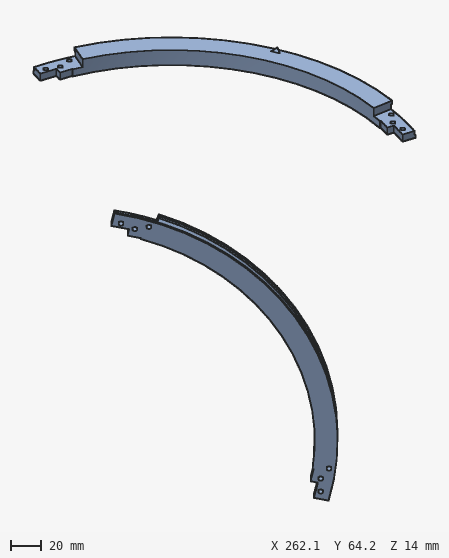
import cadquery as cq
import math

outer_radius = 178.72
ring_width = 15.0
body_height = 12.0
body_half_angle = 37.5
base_half_angle = 40.0

groove_depth = 1.0
lower_lip_height = 1.6
groove_floor_bottom = 3.1
groove_floor_top = 8.8
upper_lip_bottom = 9.6

tab_angle = 45.0
tab_height = 5.7
tab_end = 6.71
tab_sweep_angle = 50.0
tongue_length = 12.0
tongue_width = 10.0

hole_diameter = 3.2
hole_places = [(0.9, 6.8), (-8.8, 8.9), (-17.5, 5.3)]

pointer_angle = 6.3
pointer_tip_inset = 0.6
pointer_base_width = 7.0
pointer_base_length = 3.5
pointer_height = 2.0
pointer_sink = 0.2

inner_radius = outer_radius - ring_width


def cross_section():
    """Ring section in the YZ plane, Y being the radius, with the groove on its outer side."""
    groove_radius = outer_radius - groove_depth
    return cq.Workplane("YZ").polyline([
        (inner_radius, 0),
        (outer_radius, 0),
        (outer_radius, lower_lip_height),
        (groove_radius, groove_floor_bottom),
        (groove_radius, groove_floor_top),
        (outer_radius, upper_lip_bottom),
        (outer_radius, body_height),
        (inner_radius, body_height),
    ]).close()


def ring_sector(half_angle):
    """The section swept about Z, symmetric about +Y."""
    sector = cross_section().revolve(2 * half_angle, (0, 0), (0, 1))
    return sector.rotate((0, 0, 0), (0, 0, 1), -half_angle)


def low_slab():
    """Everything below the tab top face."""
    side = 4 * outer_radius
    return cq.Workplane("XY").rect(side, side).extrude(tab_height)


def tab_outline():
    """Trimming prism for one tab, drawn with its 45 degree radius along +Y."""
    start = -outer_radius * math.sin(math.radians(tab_angle - base_half_angle))
    outside = outer_radius + ring_width
    tongue_radius = outer_radius - tongue_width
    notch_position = tab_end - tongue_length
    return cq.Workplane("XY").polyline([
        (start, inner_radius),
        (notch_position, inner_radius),
        (notch_position, tongue_radius),
        (tab_end, tongue_radius),
        (tab_end, outside),
        (start, outside),
    ]).close().extrude(tab_height)


def tab_holes():
    """Through-hole cutters, placed like tab_outline."""
    centres = [(along, outer_radius - inset) for along, inset in hole_places]
    return cq.Workplane("XY").pushPoints(centres).circle(hole_diameter / 2).extrude(tab_height)


def at_both_ends(shape):
    """Turn a shape to the +X end and mirror it to the -X end."""
    right = shape.rotate((0, 0, 0), (0, 0, 1), -tab_angle)
    return right.union(right.mirror("YZ"))


def pointer():
    """Pyramid whose top point stands over its outermost base corner."""
    tip_y = outer_radius - pointer_tip_inset
    base_y = tip_y - pointer_base_length
    half_width = pointer_base_width / 2
    left = cq.Vector(-half_width, base_y, body_height - pointer_sink)
    right = cq.Vector(half_width, base_y, body_height - pointer_sink)
    tip = cq.Vector(0, tip_y, body_height - pointer_sink)
    top = cq.Vector(0, tip_y, body_height + pointer_height)
    triangles = [(left, right, tip), (left, right, top), (right, tip, top), (tip, left, top)]
    faces = [cq.Face.makeFromWires(cq.Wire.makePolygon(t, close=True)) for t in triangles]
    pyramid = cq.Workplane(cq.Solid.makeSolid(cq.Shell.makeShell(faces)))
    return pyramid.rotate((0, 0, 0), (0, 0, 1), -pointer_angle)


tabs = ring_sector(tab_sweep_angle).intersect(at_both_ends(tab_outline()))
base = ring_sector(base_half_angle).intersect(low_slab())
result = ring_sector(body_half_angle).union(base).union(tabs)
result = result.cut(at_both_ends(tab_holes()))
result = result.union(pointer())